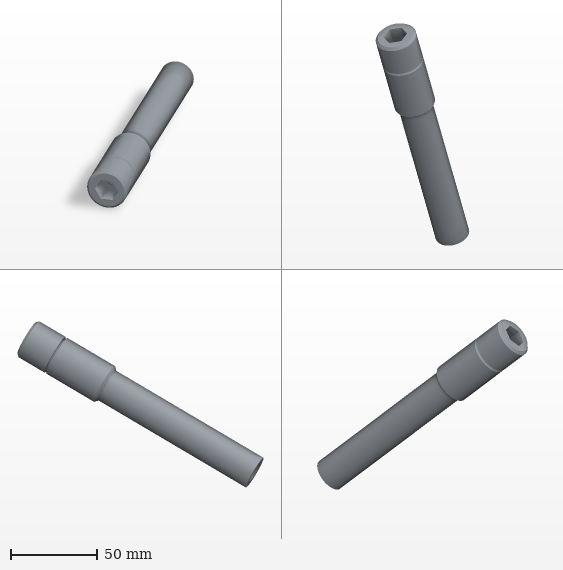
import cadquery as cq
import math

total_length = 154.0
front_y = -total_length / 2
cap_length = 19.1
head_length = 54.0
shaft_length = total_length - head_length
collar_length = head_length - cap_length

head_diameter = 24.0
shaft_diameter = 20.0
bore_diameter = 12.0
hex_across_flats = bore_diameter
hex_across_corners = hex_across_flats / math.cos(math.pi / 6)
edge_chamfer = 1.5


def section_plane(y):
    """Plane across the axis at position y, with its normal along +Y."""
    return cq.Workplane(cq.Plane(origin=(0, y, 0), xDir=(1, 0, 0), normal=(0, 1, 0)))


def make_cap():
    """Chamfered end cap with a hexagonal through socket."""
    cap = section_plane(front_y).circle(head_diameter / 2).extrude(cap_length)
    cap = cap.faces("<Y").chamfer(edge_chamfer)
    socket = section_plane(front_y).polygon(6, hex_across_corners).extrude(cap_length)
    return cap.cut(socket)


def make_sleeve():
    """Collar chamfered at both ends, with a long shaft and a round through bore."""
    collar_y = front_y + cap_length
    shaft_y = front_y + head_length
    collar = section_plane(collar_y).circle(head_diameter / 2).extrude(collar_length)
    collar = collar.faces("<Y or >Y").chamfer(edge_chamfer)
    shaft = section_plane(shaft_y).circle(shaft_diameter / 2).extrude(shaft_length)
    bore = section_plane(collar_y).circle(bore_diameter / 2).extrude(collar_length + shaft_length)
    return collar.union(shaft).cut(bore)


cap = make_cap()
sleeve = make_sleeve()
result = cq.Compound.makeCompound([cap.val(), sleeve.val()])